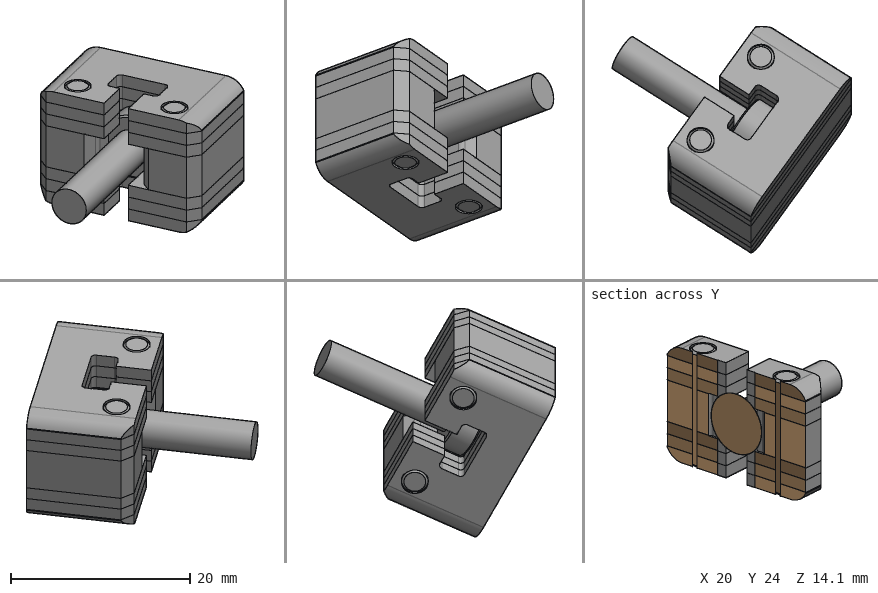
import cadquery as cq


BLOCK_WIDTH = 20.0
BLOCK_DEPTH = 12.0
BLOCK_HEIGHT = 14.1
PLATE_THICKNESS = 1.5
PLATES_PER_SIDE = 3
CORE_THICKNESS = BLOCK_HEIGHT - 2 * PLATES_PER_SIDE * PLATE_THICKNESS
FRONT_CHAMFER = 1.27

EDGE_RADIUS = 2.5
EDGE_DROP = 1.37

SHAFT_DIAMETER = 4.27
SHAFT_REACH = 12.0
HEAD_DIAMETER = 7.68
HEAD_LENGTH = 3.0
HEAD_FRONT = 3.98
HEAD_CHAMFER = 0.2

HEAD_CLEARANCE = 0.07
POCKET_BACK = HEAD_FRONT + HEAD_LENGTH + HEAD_CLEARANCE
SLOT_WIDTH = 3.0
PLATE_POCKET_WIDTH = 6.3
POCKET_CORNER_RADIUS = 0.5

CORE_CLEARANCE = 0.25
CORE_POCKET_WIDTH = HEAD_DIAMETER + 2 * CORE_CLEARANCE
CORE_POCKET_FRONT = HEAD_FRONT - CORE_CLEARANCE
THROAT_WIDTH = 5.57
THROAT_FLARE = 1.2
THROAT_ROUND = 0.9

PIN_DIAMETER = 3.0
PIN_SPACING = 12.0
PIN_SETBACK = 2.52
PIN_CHAMFER = 0.3
PIN_CENTRES = [(-PIN_SPACING / 2, PIN_SETBACK), (PIN_SPACING / 2, PIN_SETBACK)]


def front_box(width, front, back, bottom, thickness):
    """Box centred on X that runs from front to back along Y and upwards from bottom."""
    return (
        cq.Workplane("XY", origin=(0, 0, bottom))
        .center(0, (front + back) / 2)
        .rect(width, back - front)
        .extrude(thickness)
    )


def plate_blank(bottom, thickness):
    """Plate with chamfered front corners and the two pin holes."""
    blank = front_box(BLOCK_WIDTH, 0, BLOCK_DEPTH, bottom, thickness)
    blank = blank.edges("|Z and <Y").chamfer(FRONT_CHAMFER)
    holes = (
        cq.Workplane("XY", origin=(0, 0, bottom))
        .pushPoints(PIN_CENTRES)
        .circle(PIN_DIAMETER / 2)
        .extrude(thickness)
    )
    return blank.cut(holes)


def head_pocket(width, front, bottom, thickness):
    """Round-cornered pocket for the bolt head."""
    pocket = front_box(width, front, POCKET_BACK, bottom, thickness)
    return pocket.edges("|Z").fillet(POCKET_CORNER_RADIUS)


def make_slotted_plate(bottom):
    """Flat plate with a narrow T-slot."""
    slot = front_box(SLOT_WIDTH, 0, POCKET_BACK, bottom, PLATE_THICKNESS)
    pocket = head_pocket(PLATE_POCKET_WIDTH, HEAD_FRONT, bottom, PLATE_THICKNESS)
    return plate_blank(bottom, PLATE_THICKNESS).cut(slot).cut(pocket)


def cover_envelope():
    """Block-long bar whose four long edges are arcs that meet the sides at an angle."""
    half_width = BLOCK_WIDTH / 2
    half_height = BLOCK_HEIGHT / 2
    edge_inset = (EDGE_RADIUS**2 - (EDGE_RADIUS - EDGE_DROP) ** 2) ** 0.5
    flat_half = half_width - edge_inset
    side_half = half_height - EDGE_DROP
    return (
        cq.Workplane("XZ")
        .moveTo(-flat_half, half_height)
        .lineTo(flat_half, half_height)
        .radiusArc((half_width, side_half), EDGE_RADIUS)
        .lineTo(half_width, -side_half)
        .radiusArc((flat_half, -half_height), EDGE_RADIUS)
        .lineTo(-flat_half, -half_height)
        .radiusArc((-half_width, -side_half), EDGE_RADIUS)
        .lineTo(-half_width, side_half)
        .radiusArc((-flat_half, half_height), EDGE_RADIUS)
        .close()
        .extrude(-BLOCK_DEPTH)
    )


def make_cover_plate(bottom):
    """Outermost slotted plate with rounded long edges."""
    return make_slotted_plate(bottom).intersect(cover_envelope())


def make_core_plate():
    """Thick middle plate that holds the bolt head behind a flared throat."""
    bottom = -CORE_THICKNESS / 2
    throat_half = THROAT_WIDTH / 2
    mouth_half = throat_half + THROAT_FLARE
    throat = (
        cq.Workplane("XY", origin=(0, 0, bottom))
        .moveTo(-mouth_half, 0)
        .lineTo(mouth_half, 0)
        .lineTo(throat_half, THROAT_FLARE)
        .lineTo(throat_half, POCKET_BACK)
        .lineTo(-throat_half, POCKET_BACK)
        .lineTo(-throat_half, THROAT_FLARE)
        .close()
        .extrude(CORE_THICKNESS)
    )
    flare_corners = cq.selectors.BoxSelector(
        (-mouth_half, THROAT_FLARE / 2, bottom),
        (mouth_half, 2 * THROAT_FLARE, -bottom),
    )
    throat = throat.edges("|Z").edges(flare_corners).fillet(THROAT_ROUND)
    pocket = head_pocket(CORE_POCKET_WIDTH, CORE_POCKET_FRONT, bottom, CORE_THICKNESS)
    return plate_blank(bottom, CORE_THICKNESS).cut(throat).cut(pocket)


def make_bolt():
    """Round shaft with a chamfered cylindrical head."""
    head = (
        cq.Workplane("XZ", origin=(0, HEAD_FRONT, 0))
        .circle(HEAD_DIAMETER / 2)
        .extrude(-HEAD_LENGTH)
        .edges("%CIRCLE")
        .chamfer(HEAD_CHAMFER)
    )
    shaft = (
        cq.Workplane("XZ", origin=(0, HEAD_FRONT, 0))
        .circle(SHAFT_DIAMETER / 2)
        .extrude(HEAD_FRONT + SHAFT_REACH)
    )
    return head.union(shaft)


def make_pin(centre):
    """Dowel through the whole stack, chamfered at both ends."""
    return (
        cq.Workplane("XY", origin=(*centre, -BLOCK_HEIGHT / 2))
        .circle(PIN_DIAMETER / 2)
        .extrude(BLOCK_HEIGHT)
        .edges("%CIRCLE")
        .chamfer(PIN_CHAMFER)
    )


core_plate = make_core_plate()
bolt = make_bolt()
pins = [make_pin(centre) for centre in PIN_CENTRES]

inner_plates = []
cover_plates = []
for level in range(PLATES_PER_SIDE):
    upper_bottom = CORE_THICKNESS / 2 + level * PLATE_THICKNESS
    lower_bottom = -upper_bottom - PLATE_THICKNESS
    for bottom in (upper_bottom, lower_bottom):
        if level == PLATES_PER_SIDE - 1:
            cover_plates.append(make_cover_plate(bottom))
        else:
            inner_plates.append(make_slotted_plate(bottom))

bodies = [core_plate, *inner_plates, *cover_plates, bolt, *pins]
result = cq.Compound.makeCompound([body.solids().val() for body in bodies])